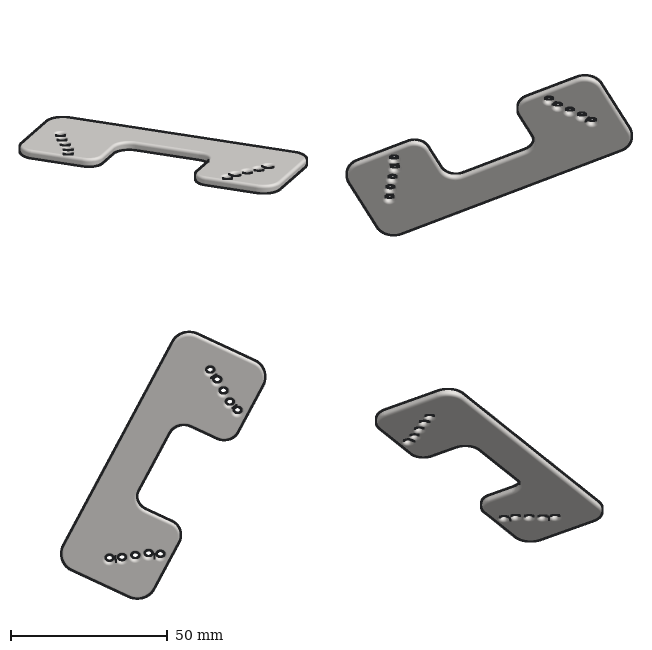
import cadquery as cq

length = 90.0
width = 32.5
thickness = 3.0
corner_radius = 6.0
edge_rounding = 1.0

notch_width = 32.0
notch_depth = 19.4
notch_radius = 5.0

hole_diameter = 2.5
hole_offsets_x = [27.5, 29.0, 31.5, 34.0, 36.0]
last_hole_y = 17.5
hole_step_y = last_hole_y / len(hole_offsets_x)


def make_plate():
    """U-shaped plate with rounded corners and rounded top and bottom rims."""
    plate = cq.Workplane("XY").box(length, width, thickness, centered=(True, False, False))
    plate = plate.edges("|Z").fillet(corner_radius)
    notch = cq.Workplane("XY").box(notch_width, notch_depth, thickness, centered=(True, False, False))
    plate = plate.cut(notch)

    reach_x = notch_width / 2 + edge_rounding
    notch_zone = cq.selectors.BoxSelector(
        (-reach_x, -edge_rounding, 0),
        (reach_x, notch_depth + edge_rounding, thickness),
    )
    plate = plate.edges("|Z").edges(notch_zone).fillet(notch_radius)
    return plate.faces("<Z or >Z").edges().fillet(edge_rounding)


def make_hole_cutter():
    """Through hole whose two rims flare out in convex quarter rounds."""
    bore_radius = hole_diameter / 2
    rim_radius = bore_radius + edge_rounding
    flare_start = thickness - edge_rounding
    arc_inset = edge_rounding * (1 - 0.5**0.5)
    profile = (
        cq.Workplane("XZ")
        .lineTo(rim_radius, 0)
        .threePointArc((bore_radius + arc_inset, arc_inset), (bore_radius, edge_rounding))
        .lineTo(bore_radius, flare_start)
        .threePointArc((bore_radius + arc_inset, thickness - arc_inset), (rim_radius, thickness))
        .lineTo(0, thickness)
        .close()
    )
    return profile.revolve(360, (0, 0, 0), (0, 1, 0))


result = make_plate()
hole_cutter = make_hole_cutter()
for row, offset_x in enumerate(hole_offsets_x, start=1):
    for side in (-1, 1):
        result = result.cut(hole_cutter.translate((side * offset_x, row * hole_step_y, 0)))